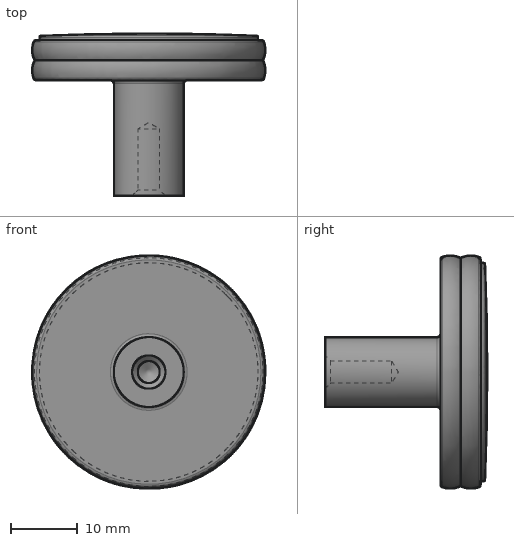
import cadquery as cq
import math


disc_radius = 17.5
disc_thickness = 6.05
groove_width = 0.1
band_crown = 0.35
rim_fillet = 0.5
band_width = (disc_thickness - groove_width) / 2
groove_radius = disc_radius - band_crown

cap_radius = 16.4
cap_height = 1.0
dome_rise = 0.35
cap_fillet = 0.3
cap_wall_height = cap_height - dome_rise

stem_radius = 5.25
stem_length = 17.3
stem_fillet = 0.5

hole_radius = 1.65
hole_depth = 10.0
countersink_radius = 2.5
countersink_angle = 90.0
drill_point_angle = 118.0


def cone_height(radius_change, included_angle):
    """Axial length over which a cone changes radius by the given amount."""
    return radius_change / math.tan(math.radians(included_angle / 2))


def revolve_about_y(profile):
    """Turn a closed half profile drawn in the XY plane around the Y axis."""
    return profile.close().revolve(360, (0, 0, 0), (0, 1, 0))


def make_disc():
    profile = cq.Workplane("XY")
    for band_start in (0, band_width + groove_width):
        crown_point = (disc_radius, band_start + band_width / 2)
        band_end = (groove_radius, band_start + band_width)
        profile = profile.lineTo(groove_radius, band_start).threePointArc(crown_point, band_end)
    disc = revolve_about_y(profile.lineTo(0, disc_thickness))
    return disc.faces("<Y or >Y").edges().fillet(rim_fillet)


def make_cap():
    dome_radius = (cap_radius**2 + dome_rise**2) / (2 * dome_rise)
    dome_center = cap_height - dome_radius
    mid_radius = cap_radius / 2
    mid_height = dome_center + math.sqrt(dome_radius**2 - mid_radius**2)
    profile = (
        cq.Workplane("XY")
        .lineTo(cap_radius, 0)
        .lineTo(cap_radius, cap_wall_height)
        .threePointArc((mid_radius, mid_height), (0, cap_height))
    )
    dome_edge = cq.selectors.NearestToPointSelector((0, cap_wall_height, 0))
    cap = revolve_about_y(profile).edges(dome_edge).fillet(cap_fillet)
    return cap.translate((0, disc_thickness, 0))


def make_stem():
    """Stem whose root flares into the disc face with a concave fillet."""
    flare_radius = stem_radius + stem_fillet
    arc_offset = stem_fillet * (1 - math.sqrt(0.5))
    profile = (
        cq.Workplane("XY")
        .moveTo(0, -stem_length)
        .lineTo(stem_radius, -stem_length)
        .lineTo(stem_radius, -stem_fillet)
        .threePointArc((stem_radius + arc_offset, -arc_offset), (flare_radius, 0))
        .lineTo(0, 0)
    )
    return revolve_about_y(profile)


def make_hole():
    stem_end = -stem_length
    countersink_bottom = stem_end + cone_height(countersink_radius - hole_radius, countersink_angle)
    hole_bottom = stem_end + hole_depth
    drill_tip = hole_bottom + cone_height(hole_radius, drill_point_angle)
    profile = (
        cq.Workplane("XY")
        .moveTo(0, stem_end)
        .lineTo(countersink_radius, stem_end)
        .lineTo(hole_radius, countersink_bottom)
        .lineTo(hole_radius, hole_bottom)
        .lineTo(0, drill_tip)
    )
    return revolve_about_y(profile)


result = make_disc().union(make_cap()).union(make_stem()).cut(make_hole())